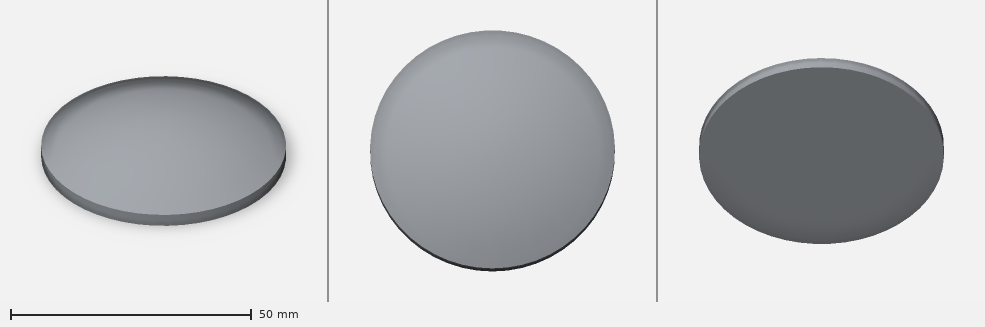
import cadquery as cq

diameter = 50.8
center_thickness = 10.02
edge_thickness = 2.75

rim_radius = diameter / 2
crown_height = center_thickness - edge_thickness
crown_radius = (rim_radius**2 + crown_height**2) / (2 * crown_height)


def make_lens():
    """Rim disc carved from a tall cylinder by the sphere that forms the crown."""
    blank = cq.Workplane("XY").circle(rim_radius).extrude(center_thickness)
    crown_center_z = center_thickness - crown_radius
    sphere = cq.Workplane("XY").sphere(crown_radius).translate((0, 0, crown_center_z))
    return blank.intersect(sphere)


result = make_lens()